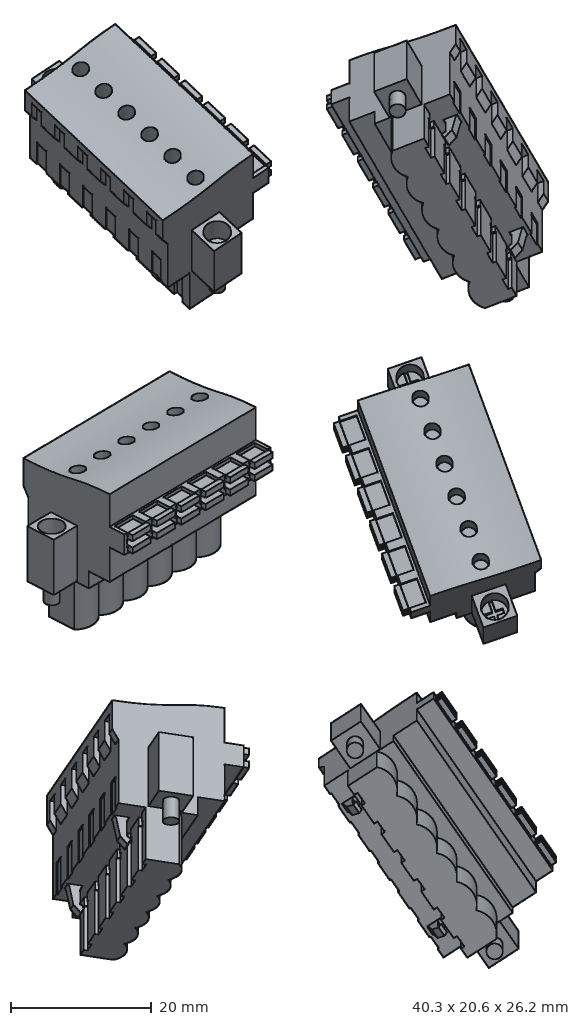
import cadquery as cq


POLES = 6
PITCH = 5.08
BODY_WIDTH = POLES * PITCH
OVERALL_WIDTH = 40.3
POLE_X = [PITCH * (i - (POLES - 1) / 2) for i in range(POLES)]

HEIGHT = 26.22
FRONT_Y = -7.0
LIP_Y = -7.95
LIP_BOTTOM_Z = 20.1
LIP_ROOT_Z = 18.53
BACK_Y = 8.82
BACK_BOTTOM_Z = 11.25
STEP_Y = 4.85
BODY_BOTTOM_Z = 8.35

TOP_FLAT_BACK_Y = 8.45
RAMP_BACK_Y = 1.97
RAMP_FRONT_Y = -0.8
CONVEX_DROP = 0.6
RAMP_DROP = 0.45
CONCAVE_DROP = 0.4
RAMP_BACK_Z = HEIGHT - CONVEX_DROP
RAMP_FRONT_Z = RAMP_BACK_Z - RAMP_DROP
LIP_TOP_Z = RAMP_FRONT_Z - CONCAVE_DROP

TEST_HOLE_DIAMETER = 2.38
TEST_HOLE_Y = 0.3
TEST_HOLE_DEPTH = 4.03

FRONT_SLOT_WIDTH = 2.1
LIP_SLOT_TOP_Z = 23.2
FACE_SLOT_TOP_Z = 13.35
FACE_SLOT_DEPTH = 0.2

LEDGE_Y = 11.7
LEDGE_TOP_Z = 20.65
LEDGE_BOTTOM_Z = 17.15

LEVER_WIDTH = 3.8
LEVER_FRONT_Y = 9.22
LEVER_BACK_Y = 12.7
LEVER_HEIGHT = 3.15
LEVER_HEAD_OVERHANG = 0.6
LEVER_HEAD_GAP = 0.12
LEVER_SLOT_HEIGHT = 1.05
LEVER_SLOT_DEPTH = 1.15
LEVER_BOTTOM_Z = LEDGE_TOP_Z - LEVER_HEIGHT
STEM_BOTTOM_Z = LEVER_BOTTOM_Z + LEVER_HEAD_OVERHANG
STEM_TOP_Z = LEDGE_TOP_Z - LEVER_HEAD_OVERHANG
LEVER_HEAD_Y = LEDGE_Y + LEVER_HEAD_GAP

PLUG_FRONT_Y = -2.95
PLUG_BACK_Y = 2.0
PLUG_BULGE = 1.05
PLUG_SLOT_WIDTH = 1.85
PLUG_SLOT_NECK_WIDTH = 1.33
PLUG_SLOT_NECK_HEIGHT = 1.33
PLUG_SLOT_DEPTH = 0.55

HOOK_WIDTH = 1.5
HOOK_X = 10.88
HOOK_PROFILE = [
    (-4.23, BODY_BOTTOM_Z),
    (-4.6, 7.5),
    (-4.6, 5.4),
    (-4.0, 4.85),
    (-4.45, 3.85),
    (-5.6, 5.08),
    (-6.2, 7.98),
    (-6.4, BODY_BOTTOM_Z),
]

FLANGE_DEPTH = 5.1
FLANGE_TOP_Z = 18.0
FLANGE_BOTTOM_Z = 8.58
SCREW_X = 17.8

SCREW_HEAD_DIAMETER = 3.95
SCREW_HEAD_TOP_Z = 13.98
SCREW_HEAD_HEIGHT = 2.0
SCREW_HEAD_BOTTOM_Z = SCREW_HEAD_TOP_Z - SCREW_HEAD_HEIGHT
SHANK_DIAMETER = 2.35
SHANK_BOTTOM_Z = 5.28
RECESS_DEPTH = 0.8
BLADE_SLOT_WIDTH = 0.5
CROSS_SLOT_WIDTH = 0.73
CROSS_SLOT_LENGTH = 2.65


def block(x_range, y_range, z_range):
    """Box between two corners, each range given as (low, high)."""
    (x0, x1), (y0, y1), (z0, z1) = x_range, y_range, z_range
    return cq.Workplane("XY").box(x1 - x0, y1 - y0, z1 - z0, centered=False).translate((x0, y0, z0))


def centred(x, width):
    return (x - width / 2, x + width / 2)


def vertical_cylinder(x, y, diameter, bottom_z, top_z):
    height = top_z - bottom_z
    return cq.Workplane("XY", origin=(x, y, bottom_z)).circle(diameter / 2).extrude(height)


def upper_body():
    profile = (
        cq.Workplane("YZ")
        .moveTo(BACK_Y, HEIGHT)
        .lineTo(TOP_FLAT_BACK_Y, HEIGHT)
        .tangentArcPoint((RAMP_BACK_Y, RAMP_BACK_Z), relative=False)
        .tangentArcPoint((RAMP_FRONT_Y, RAMP_FRONT_Z), relative=False)
        .tangentArcPoint((FRONT_Y, LIP_TOP_Z), relative=False)
        .lineTo(LIP_Y, LIP_TOP_Z)
        .lineTo(LIP_Y, LIP_BOTTOM_Z)
        .lineTo(FRONT_Y, LIP_ROOT_Z)
        .lineTo(FRONT_Y, BODY_BOTTOM_Z)
        .lineTo(STEP_Y, BODY_BOTTOM_Z)
        .lineTo(STEP_Y, BACK_BOTTOM_Z)
        .lineTo(BACK_Y, BACK_BOTTOM_Z)
        .lineTo(BACK_Y, LEDGE_BOTTOM_Z)
        .lineTo(LEDGE_Y, LEDGE_BOTTOM_Z)
        .lineTo(LEDGE_Y, LEDGE_TOP_Z)
        .lineTo(BACK_Y, LEDGE_TOP_Z)
        .close()
    )
    return profile.extrude(BODY_WIDTH / 2, both=True)


def plug():
    """Plug with a flat front and one rounded bulge per pole along its back."""
    outline = (
        cq.Workplane("XY")
        .moveTo(BODY_WIDTH / 2, PLUG_BACK_Y)
        .lineTo(BODY_WIDTH / 2, PLUG_FRONT_Y)
        .lineTo(-BODY_WIDTH / 2, PLUG_FRONT_Y)
        .lineTo(-BODY_WIDTH / 2, PLUG_BACK_Y)
    )
    for x in POLE_X:
        outline = outline.threePointArc((x, PLUG_BACK_Y + PLUG_BULGE), (x + PITCH / 2, PLUG_BACK_Y))
    return outline.close().extrude(BODY_BOTTOM_Z)


def latch_hook(x):
    profile = cq.Workplane("YZ", origin=(x, 0, 0)).polyline(HOOK_PROFILE)
    return profile.close().extrude(HOOK_WIDTH / 2, both=True)


def screw_flange(side):
    """Flange on one end of the body; side is -1 or +1."""
    x_range = sorted((side * BODY_WIDTH / 2, side * OVERALL_WIDTH / 2))
    return block(x_range, centred(0, FLANGE_DEPTH), (FLANGE_BOTTOM_Z, FLANGE_TOP_Z))


def screw_hole(side):
    x = side * SCREW_X
    counterbore = vertical_cylinder(x, 0, SCREW_HEAD_DIAMETER, SCREW_HEAD_BOTTOM_Z, FLANGE_TOP_Z)
    clearance = vertical_cylinder(x, 0, SHANK_DIAMETER, FLANGE_BOTTOM_Z, SCREW_HEAD_BOTTOM_Z)
    return counterbore.union(clearance)


def pole_cuts(x):
    """Everything that is cut from the housing at one pole."""
    slot_x = centred(x, FRONT_SLOT_WIDTH)
    neck_z = BODY_BOTTOM_Z - PLUG_SLOT_NECK_HEIGHT
    plug_slot_y = (PLUG_FRONT_Y, PLUG_FRONT_Y + PLUG_SLOT_DEPTH)
    return [
        vertical_cylinder(x, TEST_HOLE_Y, TEST_HOLE_DIAMETER, RAMP_BACK_Z - TEST_HOLE_DEPTH, HEIGHT),
        block(slot_x, (LIP_Y, FRONT_Y), (LIP_ROOT_Z, LIP_SLOT_TOP_Z)),
        block(slot_x, (FRONT_Y, FRONT_Y + FACE_SLOT_DEPTH), (BODY_BOTTOM_Z, FACE_SLOT_TOP_Z)),
        block(centred(x, PLUG_SLOT_NECK_WIDTH), plug_slot_y, (neck_z, BODY_BOTTOM_Z)),
        block(centred(x, PLUG_SLOT_WIDTH), plug_slot_y, (0, neck_z)),
        block(centred(x, LEVER_WIDTH), (LEVER_FRONT_Y, LEDGE_Y), (STEM_BOTTOM_Z, LEDGE_TOP_Z)),
    ]


def make_housing():
    body = upper_body().union(plug())
    for side in (-1, 1):
        body = body.union(screw_flange(side)).union(latch_hook(side * HOOK_X))
        body = body.cut(screw_hole(side))
    for x in POLE_X:
        for cutter in pole_cuts(x):
            body = body.cut(cutter)
    return body


def make_lever(x):
    """Lever with a T-shaped side profile and a round-bottomed slot across its head."""
    x_range = centred(x, LEVER_WIDTH)
    stem = block(x_range, (LEVER_FRONT_Y, LEVER_HEAD_Y), (STEM_BOTTOM_Z, STEM_TOP_Z))
    head = block(x_range, (LEVER_HEAD_Y, LEVER_BACK_Y), (LEVER_BOTTOM_Z, LEDGE_TOP_Z))
    slot_radius = LEVER_SLOT_HEIGHT / 2
    slot_z = LEVER_BOTTOM_Z + LEVER_HEIGHT / 2
    slot_arc_y = LEVER_BACK_Y - LEVER_SLOT_DEPTH + slot_radius
    slot = (
        cq.Workplane("YZ", origin=(x, 0, 0))
        .moveTo(LEVER_BACK_Y, slot_z + slot_radius)
        .lineTo(slot_arc_y, slot_z + slot_radius)
        .threePointArc((slot_arc_y - slot_radius, slot_z), (slot_arc_y, slot_z - slot_radius))
        .lineTo(LEVER_BACK_Y, slot_z - slot_radius)
        .close()
        .extrude(LEVER_WIDTH / 2, both=True)
    )
    return stem.union(head).cut(slot)


def make_screw(side):
    x = side * SCREW_X
    head = vertical_cylinder(x, 0, SCREW_HEAD_DIAMETER, SCREW_HEAD_BOTTOM_Z, SCREW_HEAD_TOP_Z)
    shank = vertical_cylinder(x, 0, SHANK_DIAMETER, SHANK_BOTTOM_Z, SCREW_HEAD_BOTTOM_Z)
    recess_z = (SCREW_HEAD_TOP_Z - RECESS_DEPTH, SCREW_HEAD_TOP_Z)
    blade_slot = block(centred(x, SCREW_HEAD_DIAMETER), centred(0, BLADE_SLOT_WIDTH), recess_z)
    cross_slot = block(centred(x, CROSS_SLOT_WIDTH), centred(0, CROSS_SLOT_LENGTH), recess_z)
    return head.union(shank).cut(blade_slot).cut(cross_slot)


housing = make_housing()
levers = [make_lever(x) for x in POLE_X]
screws = [make_screw(side) for side in (-1, 1)]

result = cq.Compound.makeCompound([housing.val(), *[b.val() for b in levers + screws]])